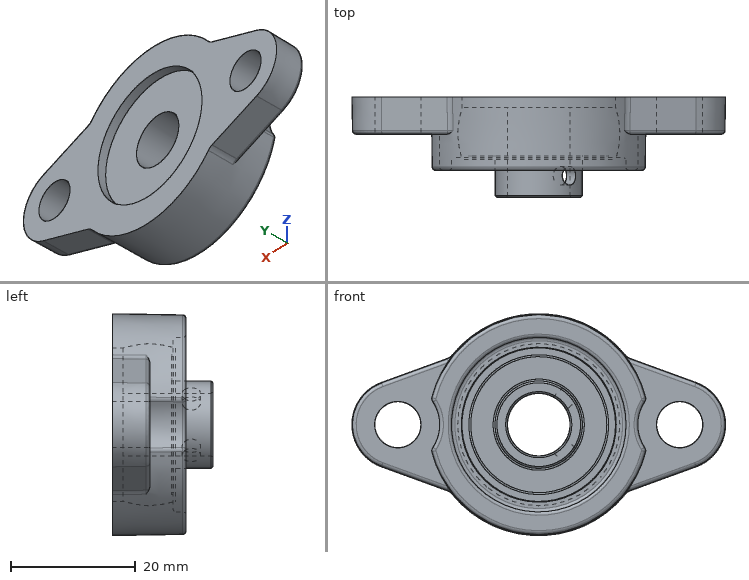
import cadquery as cq
import math


overall_length = 59.95
flange_thickness = 6.0
body_diameter = 35.6
body_depth = 11.8
draft_angle = 1.0
edge_fillet = 0.6
ear_end_radius = 7.2
ear_side_angle = 20.0
ear_root_fillet = 2.0
bolt_hole_offset = 22.6
bolt_hole_diameter = 7.4
bolt_notch_radius = 6.7
notch_corner_fillet = 0.85
recess_diameter = 28.0
recess_depth = 2.1
recess_fillet = 0.55

overall_depth = 16.1
seat_radius = 13.0
ring_width = 8.4
ring_front = 10.1
sleeve_diameter = 14.0
bore_diameter = 10.0
sleeve_chamfer = 0.3
seal_inner_diameter = 14.6
seal_outer_diameter = 21.8
ring_inner_diameter = 22.4
seal_recess = 0.3
seal_gap_depth = 0.3
set_screw_diameter = 3.0
set_screw_depth = 12.65
set_screw_angles = (45.0, -45.0)

seat_center = ring_front - ring_width / 2
ring_face_radius = math.sqrt(seat_radius**2 - (ring_width / 2) ** 2)


def plane_at(depth):
    """XZ sketch plane at a distance in front of the mounting face, extruding toward -Y."""
    return cq.Workplane("XZ", origin=(0, -depth, 0))


def make_ring_form():
    """Solid disc with the bulging rim shared by the outer ring and its housing seat."""
    half_width = ring_width / 2
    return (
        cq.Workplane("XY")
        .moveTo(0, -seat_center - half_width)
        .lineTo(ring_face_radius, -seat_center - half_width)
        .threePointArc((seat_radius, -seat_center), (ring_face_radius, -seat_center + half_width))
        .lineTo(0, -seat_center + half_width)
        .close()
        .revolve(360, (0, 0, 0), (0, 1, 0))
    )


def polar(radius, angle, center=(0.0, 0.0)):
    """Point at a radius and angle (radians) around a centre."""
    return (center[0] + radius * math.cos(angle), center[1] + radius * math.sin(angle))


def make_flange():
    """Plate whose outline joins the round body to two tapering ears through small root arcs."""
    body_radius = body_diameter / 2
    end_center = (overall_length / 2 - ear_end_radius, 0.0)
    side_normal = math.radians(90 - ear_side_angle)
    side_distance = end_center[0] * math.cos(side_normal) + ear_end_radius
    root_center_radius = body_radius + ear_root_fillet
    root_angle = side_normal - math.acos((side_distance + ear_root_fillet) / root_center_radius)
    root_center = polar(root_center_radius, root_angle)

    side_end = polar(ear_end_radius, side_normal, end_center)
    side_start = polar(-ear_root_fillet, side_normal, root_center)
    root_middle = polar(-ear_root_fillet, (side_normal + root_angle) / 2, root_center)
    root_end = polar(body_radius, root_angle)

    def place(point, side_x, side_z):
        return (side_x * point[0], side_z * point[1])

    outline = plane_at(0).moveTo(*place(root_end, 1, -1))
    for side in (1, -1):
        outline = (
            outline.threePointArc(place(root_middle, side, -side), place(side_start, side, -side))
            .lineTo(*place(side_end, side, -side))
            .threePointArc((side * overall_length / 2, 0), place(side_end, side, side))
            .lineTo(*place(side_start, side, side))
            .threePointArc(place(root_middle, side, side), place(root_end, side, side))
            .threePointArc((0, side * body_radius), place(root_end, -side, side))
        )
    flange = outline.close().extrude(flange_thickness, taper=draft_angle)
    return flange.faces("<Y").edges().fillet(edge_fillet)


def make_recess():
    """Shallow round recess with a rounded floor corner, open at the front."""
    recess = plane_at(body_depth - recess_depth).circle(recess_diameter / 2).extrude(recess_depth)
    return recess.faces(">Y").edges().fillet(recess_fillet)


def bolt_cylinders(radius, length):
    """Cylinders of one radius on both bolt axes, from the mounting face forward."""
    axes = [(-bolt_hole_offset, 0), (bolt_hole_offset, 0)]
    return plane_at(0).pushPoints(axes).circle(radius).extrude(length)


def make_body():
    """Drafted round body with a front recess and a clearance notch beside each bolt hole."""
    disc = plane_at(0).circle(body_diameter / 2).extrude(body_depth, taper=draft_angle)
    body = disc.cut(make_recess())
    recess_rim = body.faces("<Y").edges(cq.selectors.RadiusNthSelector(0))
    body = recess_rim.fillet(recess_fillet)

    body = body.cut(bolt_cylinders(bolt_notch_radius, body_depth))
    body = body.edges("%BSPLINE").fillet(notch_corner_fillet)
    front_outline = body.faces("<Y").val().outerWire().Edges()
    return body.newObject([body.solids().val().fillet(edge_fillet, front_outline)])


def make_housing():
    """Flanged housing with bolt holes and a through opening shaped to hold the outer ring."""
    housing = make_body().union(make_flange())
    housing = housing.cut(bolt_cylinders(bolt_hole_diameter / 2, flange_thickness))
    ring_passage = plane_at(0).circle(ring_face_radius).extrude(body_depth)
    return housing.cut(ring_passage).cut(make_ring_form())


def make_bearing():
    """Spherical outer ring, set-back seal and projecting sleeve as one insert."""
    seal_face = ring_front - seal_recess
    seal_space = plane_at(seal_face).circle(ring_inner_diameter / 2).extrude(seal_recess)
    bearing = make_ring_form().cut(seal_space)

    for outer, inner in (
        (ring_inner_diameter, seal_outer_diameter),
        (seal_inner_diameter, sleeve_diameter),
    ):
        gap = plane_at(seal_face - seal_gap_depth).circle(outer / 2).circle(inner / 2)
        bearing = bearing.cut(gap.extrude(seal_gap_depth))

    sleeve = plane_at(seat_center).circle(sleeve_diameter / 2).extrude(overall_depth - seat_center)
    bore = plane_at(0).circle(bore_diameter / 2).extrude(overall_depth)
    bearing = bearing.union(sleeve).cut(bore)
    bearing = bearing.faces("<Y").edges().chamfer(sleeve_chamfer)

    for angle in set_screw_angles:
        set_screw_hole = (
            cq.Workplane("YZ", origin=(0, -set_screw_depth, 0))
            .circle(set_screw_diameter / 2)
            .extrude(sleeve_diameter)
            .rotate((0, 0, 0), (0, 1, 0), angle)
        )
        bearing = bearing.cut(set_screw_hole)
    return bearing


housing = make_housing()
bearing = make_bearing()
result = cq.Compound.makeCompound([housing.solids().val(), bearing.solids().val()])